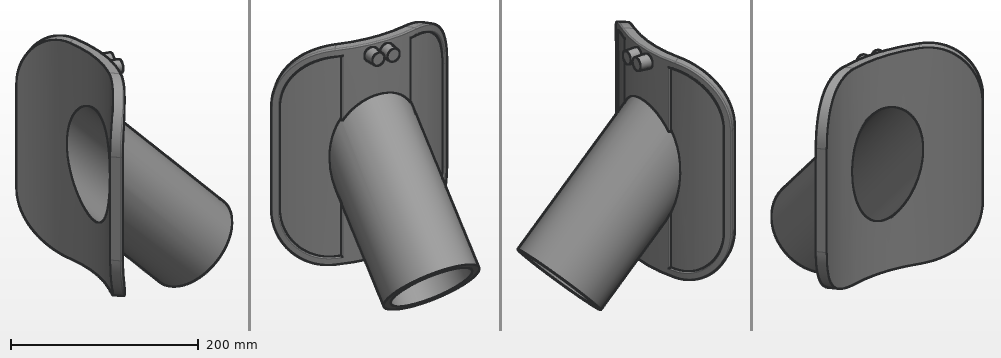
import cadquery as cq
import math

pipe_radius = 157.5
plate_thickness = 12.5
plate_height = 255.0
half_angle = 40.52
corner_radius = 66.5
edge_rounding = 1.5

recess_margin = 9.5
recess_depth = 2.5
centre_band_width = 86.0
recess_rounding = 1.5

tube_diameter = 110.0
bore_diameter = 93.5
tube_tilt = 45.0
tube_length = 168.45

post_base_diameter = 17.0
post_tip_diameter = 15.2
post_height = 13.8
post_spacing = 19.0
post_drop = 13.0

back_radius = pipe_radius + plate_thickness


def shell(inner_radius, outer_radius):
    """Full ring about the Z axis, as tall as the plate and centred on Z = 0."""
    return cq.Workplane("XY").circle(outer_radius).circle(inner_radius).extrude(plate_height / 2, both=True)


def side_trim(side, margin):
    """Block that keeps what lies inside one side face, with its two rounded corners.

    The block runs along the radial direction of that side face, so the corners
    are rounded about axes parallel to the face.
    """
    angle = math.radians(half_angle)
    radial = cq.Vector(side * math.sin(angle), math.cos(angle), 0)
    inward = cq.Vector(-side * math.cos(angle), math.sin(angle), 0)
    width = 2 * back_radius
    centre = inward * (margin + width / 2)
    return (
        cq.Workplane(cq.Plane(origin=centre.toTuple(), xDir=inward.toTuple(), normal=radial.toTuple()))
        .rect(width, plate_height - 2 * margin)
        .extrude(2 * back_radius)
        .edges(cq.selectors.ParallelDirSelector(radial))
        .edges(cq.selectors.DirectionMinMaxSelector(inward, False))
        .fillet(corner_radius - margin)
    )


def trimmed_shell(inner_radius, outer_radius, margin):
    """Shell cut to the plate outline, moved inwards by `margin`."""
    return shell(inner_radius, outer_radius).intersect(side_trim(-1, margin)).intersect(side_trim(1, margin))


def back_face(body):
    """Cylindrical back face of the plate."""
    return body.faces(cq.selectors.NearestToPointSelector((0, back_radius, 0))).val()


def make_plate():
    blank = trimmed_shell(pipe_radius, back_radius, 0)
    plate = blank.newObject(back_face(blank).Edges()).fillet(edge_rounding)

    band = cq.Workplane("XY").box(centre_band_width, 4 * back_radius, plate_height)
    recesses = trimmed_shell(back_radius - recess_depth, 2 * back_radius, recess_margin).cut(band)
    plate = plate.cut(recesses)
    rim_edges = [edge for wire in back_face(plate).innerWires() for edge in wire.Edges()]
    return plate.newObject(rim_edges).fillet(recess_rounding)


def tilted_cylinder(diameter):
    """Cylinder on the tube axis, from inside the main pipe to the free end of the tube."""
    tilt = math.radians(tube_tilt)
    direction = cq.Vector(0, math.cos(tilt), -math.sin(tilt))
    start = cq.Vector(0, pipe_radius, 0) - direction * tube_diameter
    axis_plane = cq.Plane(origin=start.toTuple(), xDir=(1, 0, 0), normal=direction.toTuple())
    return cq.Workplane(axis_plane).circle(diameter / 2).extrude(tube_diameter + tube_length)


def make_post(x):
    """Tapered post along +Y, rooted in the plate."""
    draft = (post_base_diameter - post_tip_diameter) / 2 / post_height
    root_y = pipe_radius + plate_thickness / 2
    root_radius = post_base_diameter / 2 + draft * (back_radius - root_y)
    tip_y = back_radius + post_height
    profile = [(0, root_y), (root_radius, root_y), (post_tip_diameter / 2, tip_y), (0, tip_y)]
    post = cq.Workplane("XY").polyline(profile).close().revolve(360, (0, 0, 0), (0, 1, 0))
    return post.translate((x, 0, plate_height / 2 - post_drop))


def make_tube():
    """Solid branch tube, rooted in the middle of the plate thickness."""
    root_radius = pipe_radius + plate_thickness / 2
    inner_space = cq.Workplane("XY").circle(root_radius).extrude(plate_height, both=True)
    return tilted_cylinder(tube_diameter).cut(inner_space)


result = make_plate()
for side in (-1, 1):
    result = result.union(make_post(side * post_spacing / 2))
result = result.union(make_tube()).cut(tilted_cylinder(bore_diameter))